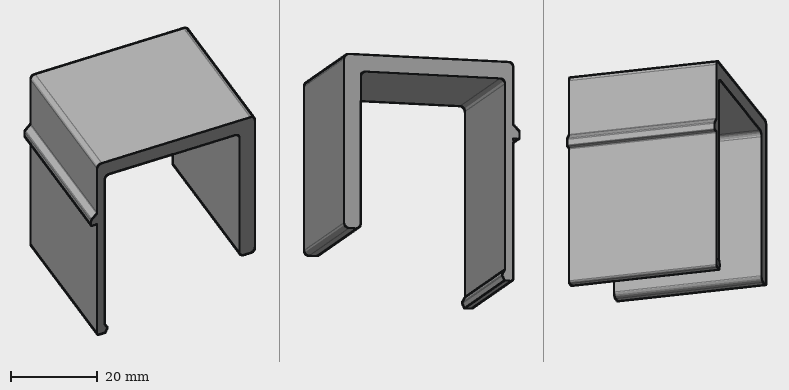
import cadquery as cq

length = 35.6
depth = 40.5
long_leg_height = 51.5
short_leg_height = 41.0

top_thickness = 4.0
short_leg_thickness = 4.0
long_leg_thickness = 2.0

outer_radius = 1.2
inner_radius = 1.2

ledge_reach = 1.5
ledge_drop = 18.0
ledge_height = 3.3
ledge_nose_radius = 0.5
ledge_root_radius = 0.25
ledge_underside_radius = 0.2

bead_reach = 0.7
bead_top_height = 2.6
bead_tip_height = 1.3
bead_tip_radius = 0.4
bead_foot_reach = 0.1
foot_radius = 0.5

front_y = -depth / 2
back_y = depth / 2
long_leg_inner_y = front_y + long_leg_thickness
short_leg_inner_y = back_y - short_leg_thickness
ceiling_z = -top_thickness
foot_z = -long_leg_height


def round_edges(body, corners, radius):
    """Round the lengthwise edges that pass through the given (Y, Z) corners."""
    for y, z in corners:
        edge = body.edges(cq.selectors.NearestToPointSelector((0, y, z)))
        body = edge.fillet(radius)
    return body


top_front = (front_y, 0)
top_back = (back_y, 0)
short_foot_back = (back_y, -short_leg_height)
short_foot_inner = (short_leg_inner_y, -short_leg_height)
ceiling_back = (short_leg_inner_y, ceiling_z)
ceiling_front = (long_leg_inner_y, ceiling_z)
bead_top = (long_leg_inner_y, foot_z + bead_top_height)
bead_tip = (long_leg_inner_y + bead_reach, foot_z + bead_tip_height)
long_foot_inner = (long_leg_inner_y + bead_foot_reach, foot_z)
long_foot_front = (front_y, foot_z)
ledge_root_bottom = (front_y, -ledge_drop)
ledge_bottom = (front_y - ledge_reach, -ledge_drop)
ledge_nose = (front_y - ledge_reach, -ledge_drop + ledge_height - ledge_reach)
ledge_root_top = (front_y, -ledge_drop + ledge_height)

profile = [
    top_front,
    top_back,
    short_foot_back,
    short_foot_inner,
    ceiling_back,
    ceiling_front,
    bead_top,
    bead_tip,
    long_foot_inner,
    long_foot_front,
    ledge_root_bottom,
    ledge_bottom,
    ledge_nose,
    ledge_root_top,
]
part = cq.Workplane("YZ").polyline(profile).close().extrude(length / 2, both=True)

part = round_edges(part, [top_front, top_back, short_foot_back, short_foot_inner], outer_radius)
part = round_edges(part, [ceiling_back, ceiling_front], inner_radius)
part = round_edges(part, [bead_tip], bead_tip_radius)
part = round_edges(part, [long_foot_front], foot_radius)
part = round_edges(part, [ledge_nose], ledge_nose_radius)
part = round_edges(part, [ledge_root_top], ledge_root_radius)
part = round_edges(part, [ledge_bottom, ledge_root_bottom], ledge_underside_radius)

result = part